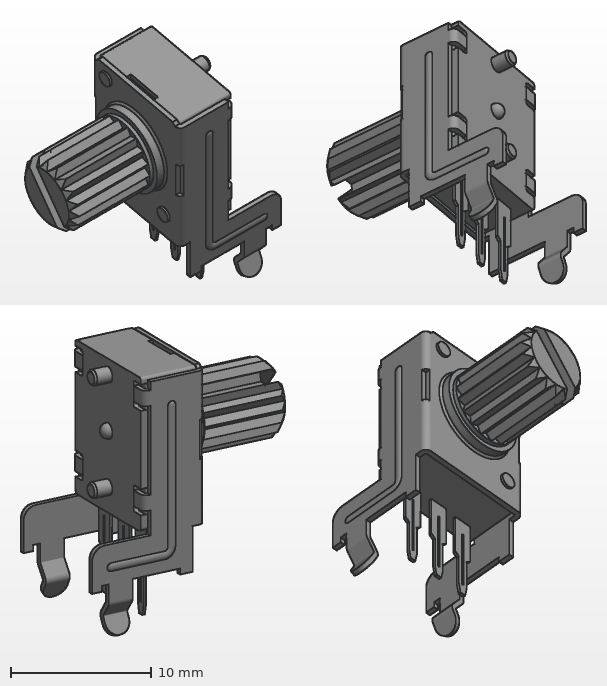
import cadquery as cq
import math


SHEET = 0.4
COVER_HALF_WIDTH = 4.9
INNER_HALF_WIDTH = COVER_HALF_WIDTH - SHEET
COVER_TOP = 5.5
COVER_BOTTOM = -6.5
SIDE_WALL_TOP = 5.25
SIDE_WALL_BACK = 4.54
BEND_INNER_RADIUS = 0.1
BEND_OUTER_RADIUS = BEND_INNER_RADIUS + SHEET
TOP_CORNER_CHAMFER = COVER_TOP - SIDE_WALL_TOP
WINDOW_HEIGHT = 3.01

SHAFT_RADIUS = 6.0 / 2
COLLAR_RADIUS = 6.8 / 2
COLLAR_FRONT = -0.83
COLLAR_BASE_CHAMFER = 0.17

WING_FRONT = 1.0
WING_BACK = 9.4
WING_CORNER_RADIUS = 1.0
WING_FOOT_BOTTOM = -10.0
WING_EDGE_BOTTOM = -9.53
FRONT_FOOT_WIDTH = 1.05
BACK_FOOT_WIDTH = 0.81

LEG_WIDTH = 2.0
LEG_CENTER_Y = 7.0
LEG_X = COVER_HALF_WIDTH - SHEET / 2
LEG_KNEE_Z = -11.05
LEG_ELBOW_X = 3.88
LEG_ELBOW_Z = -12.18
LEG_END_X = 4.65
LEG_END_Z = -13.7

BEAD_HEIGHT = 0.1
BEAD_WIDTH = 0.64
BEAD_RADIUS = ((BEAD_WIDTH / 2) ** 2 + BEAD_HEIGHT ** 2) / (2 * BEAD_HEIGHT)
BEAD_Y = 2.76
BEAD_Z = -8.26
BEAD_BEND_RADIUS = 0.62
BEAD_TOP_CENTER = 3.1
BEAD_BACK_CENTER = 7.82

TAB_WIDTH = 1.2
TAB_CENTER_Z = 4.0
TAB_REACH = 1.4
TAB_INNER_X = COVER_HALF_WIDTH - TAB_REACH
TAB_POCKET_WIDTH = 2.0
TAB_POCKET_CORNER_RADIUS = 0.2

HOUSING_BACK = 5.1
HOUSING_BOTTOM = -6.27
HOUSING_TOP_RADIUS = 0.23
HOUSING_BOTTOM_RADIUS = 0.35
HOUSING_FRONT_RADIUS = 0.1
PIN_RADIUS = 1.2 / 2
PIN_CENTER_Z = 4.3
FRONT_PIN_X = 3.25
FRONT_PIN_END = -0.2
BACK_PIN_LENGTH = 1.43
BACK_PIN_TAPER_LENGTH = 0.17
BACK_PIN_TIP_RADIUS = 0.48

SHAFT_FRONT = -8.2
SPLINE_START = -1.15
SPLINE_TEETH = 18
SPLINE_ROOT_RADIUS = 2.49
SHAFT_CHAMFER = 0.55
SLOT_WIDTH = 1.05
SLOT_DEPTH = 1.52
SLOT_ANGLE = 130

TERMINAL_PITCH = 2.5
TERMINAL_THICKNESS = 0.21
OUTER_TERMINAL_FRONT = 3.69
MIDDLE_TERMINAL_FRONT = 3.59
TERMINAL_WIDE = 1.5
TERMINAL_NARROW = 0.8
TERMINAL_TIP_WIDTH = 0.46
TERMINAL_SHOULDER_TOP = -9.7
TERMINAL_SHOULDER_BOTTOM = -9.98
TERMINAL_TAPER_START = -12.65
TERMINAL_TIP = -13.43
RIB_RADIUS = 0.1
RIB_HEIGHT = 0.05
RIB_TOP = -7.53
RIB_BOTTOM = -12.5

SIDES = (-1, 1)


def block(x_range, y_range, z_range):
    """Axis-aligned box between the given pairs of limits."""
    size = [high - low for low, high in (x_range, y_range, z_range)]
    corner = (x_range[0], y_range[0], z_range[0])
    return cq.Workplane("XY").box(*size, centered=False).translate(corner)


def rod(radius, y_start, y_end, x=0, z=0):
    """Round bar parallel to Y."""
    start = cq.Vector(x, y_start, z)
    return cq.Workplane(cq.Solid.makeCylinder(radius, y_end - y_start, start, cq.Vector(0, 1, 0)))


def mirror_pair(right_part):
    """The given +X shape together with its mirror image at -X."""
    return right_part.union(right_part.mirror("YZ"))


def cover_shell():
    """U-shaped wrap of front wall and side walls, joined by rounded bends."""
    heights = (COVER_BOTTOM, COVER_TOP)
    outer = block((-COVER_HALF_WIDTH, COVER_HALF_WIDTH), (0, SIDE_WALL_BACK), heights)
    outer = outer.edges("|Z and <Y").fillet(BEND_OUTER_RADIUS)
    inner = block((-INNER_HALF_WIDTH, INNER_HALF_WIDTH), (SHEET, HOUSING_BACK), heights)
    inner = inner.edges("|Z and <Y").fillet(BEND_INNER_RADIUS)

    front_edge = COVER_HALF_WIDTH - BEND_OUTER_RADIUS
    outline = (
        cq.Workplane("XZ")
        .moveTo(-COVER_HALF_WIDTH, COVER_BOTTOM)
        .lineTo(COVER_HALF_WIDTH, COVER_BOTTOM)
        .lineTo(COVER_HALF_WIDTH, SIDE_WALL_TOP)
        .lineTo(front_edge, SIDE_WALL_TOP)
        .lineTo(front_edge - TOP_CORNER_CHAMFER, COVER_TOP)
        .lineTo(TOP_CORNER_CHAMFER - front_edge, COVER_TOP)
        .lineTo(-front_edge, SIDE_WALL_TOP)
        .lineTo(-COVER_HALF_WIDTH, SIDE_WALL_TOP)
        .close()
        .extrude(-SIDE_WALL_BACK)
    )
    window = block(
        (INNER_HALF_WIDTH, COVER_HALF_WIDTH), (0, SHEET), (-WINDOW_HEIGHT / 2, WINDOW_HEIGHT / 2)
    )
    return outer.cut(inner).intersect(outline).cut(mirror_pair(window))


def collar():
    """Drawn collar with a conical foot on the front wall."""
    foot = cq.Solid.makeCone(
        COLLAR_RADIUS + COLLAR_BASE_CHAMFER, COLLAR_RADIUS, COLLAR_BASE_CHAMFER,
        cq.Vector(0, 0, 0), cq.Vector(0, -1, 0),
    )
    return rod(COLLAR_RADIUS, COLLAR_FRONT, SHEET).union(cq.Workplane(foot))


def wing():
    """Mounting wing at +X, with a foot at each end of its lower edge."""
    front_foot_back = WING_FRONT + FRONT_FOOT_WIDTH
    back_foot_front = WING_BACK - BACK_FOOT_WIDTH
    plate = (
        cq.Workplane("YZ", origin=(INNER_HALF_WIDTH, 0, 0))
        .moveTo(WING_FRONT, COVER_BOTTOM)
        .lineTo(WING_FRONT, WING_FOOT_BOTTOM)
        .lineTo(front_foot_back, WING_FOOT_BOTTOM)
        .lineTo(front_foot_back, WING_EDGE_BOTTOM)
        .lineTo(back_foot_front, WING_EDGE_BOTTOM)
        .lineTo(back_foot_front, WING_FOOT_BOTTOM)
        .lineTo(WING_BACK, WING_FOOT_BOTTOM)
        .lineTo(WING_BACK, COVER_BOTTOM)
        .close()
        .extrude(SHEET)
    )
    return plate.edges("|X and >Y and >Z").fillet(WING_CORNER_RADIUS)


def leg():
    """Snap-in leg at +X, bent inward at the knee and outward at the elbow, with a round tip."""
    path = cq.Workplane("XZ", origin=(0, LEG_CENTER_Y, 0)).polyline([
        (LEG_X, WING_EDGE_BOTTOM),
        (LEG_X, LEG_KNEE_Z),
        (LEG_ELBOW_X, LEG_ELBOW_Z),
        (LEG_END_X, LEG_END_Z),
    ])
    strip = (
        cq.Workplane("XY", origin=(LEG_X, LEG_CENTER_Y, WING_EDGE_BOTTOM))
        .rect(SHEET, LEG_WIDTH)
        .sweep(path, transition="right")
    )
    for bend_x, bend_z, outward in ((LEG_X, LEG_KNEE_Z, 1), (LEG_ELBOW_X, LEG_ELBOW_Z, -1)):
        for step, radius in ((outward, BEND_OUTER_RADIUS), (-outward, BEND_INNER_RADIUS)):
            beside_bend = (bend_x + step * SHEET, LEG_CENTER_Y, bend_z)
            bend_edge = strip.edges("|Y").edges(cq.NearestToPointSelector(beside_bend))
            strip = bend_edge.fillet(radius)

    limb = cq.Vector(LEG_END_X - LEG_ELBOW_X, 0, LEG_END_Z - LEG_ELBOW_Z).normalized()
    tip = cq.Vector(LEG_END_X, LEG_CENTER_Y, LEG_END_Z)
    limb_plane = cq.Plane(tip, cq.Vector(0, 1, 0), limb.cross(cq.Vector(0, 1, 0)))
    tip_radius = LEG_WIDTH / 2
    tip_disc = (
        cq.Workplane(limb_plane)
        .center(0, tip_radius)
        .circle(tip_radius)
        .extrude(SHEET, both=True)
    )
    tip_waste = (
        cq.Workplane(limb_plane)
        .rect(LEG_WIDTH, LEG_WIDTH)
        .extrude(SHEET, both=True)
        .cut(tip_disc)
    )
    return strip.cut(tip_waste)


def bead():
    """L-shaped raised bead on the outer face at +X: a round bar mostly sunk in the wall."""
    axis_x = COVER_HALF_WIDTH + BEAD_HEIGHT - BEAD_RADIUS
    bend_y = BEAD_Y + BEAD_BEND_RADIUS
    bend_z = BEAD_Z + BEAD_BEND_RADIUS
    bend_middle = BEAD_BEND_RADIUS * math.sqrt(0.5)
    path = (
        cq.Workplane("YZ", origin=(axis_x, 0, 0))
        .moveTo(BEAD_Y, BEAD_TOP_CENTER)
        .lineTo(BEAD_Y, bend_z)
        .threePointArc((bend_y - bend_middle, bend_z - bend_middle), (bend_y, BEAD_Z))
        .lineTo(BEAD_BACK_CENTER, BEAD_Z)
    )
    bar = (
        cq.Workplane("XY", origin=(axis_x, BEAD_Y, BEAD_TOP_CENTER))
        .circle(BEAD_RADIUS)
        .sweep(path)
    )
    for y, z in ((BEAD_Y, BEAD_TOP_CENTER), (BEAD_BACK_CENTER, BEAD_Z)):
        bar = bar.union(cq.Workplane("XY", origin=(axis_x, y, z)).sphere(BEAD_RADIUS))
    outside = block(
        (COVER_HALF_WIDTH, COVER_HALF_WIDTH + BEAD_HEIGHT),
        (0, WING_BACK),
        (WING_FOOT_BOTTOM, COVER_TOP),
    )
    return bar.intersect(outside)


def clinch_tab(center_z):
    """Tab at +X, bent from the side wall onto the back of the housing."""
    heights = (center_z - TAB_WIDTH / 2, center_z + TAB_WIDTH / 2)
    outer = block((TAB_INNER_X, COVER_HALF_WIDTH), (SIDE_WALL_BACK, HOUSING_BACK), heights)
    outer = outer.edges("|Z and >X and >Y").fillet(BEND_OUTER_RADIUS)
    inner = block((TAB_INNER_X, INNER_HALF_WIDTH), (SIDE_WALL_BACK, HOUSING_BACK - SHEET), heights)
    inner = inner.edges("|Z and >X and >Y").fillet(BEND_INNER_RADIUS)
    return outer.cut(inner)


def make_cover():
    cover = cover_shell().union(collar())
    for right_part in (wing(), leg(), bead(), clinch_tab(TAB_CENTER_Z), clinch_tab(-TAB_CENTER_Z)):
        cover = cover.union(mirror_pair(right_part))
    cover = cover.cut(rod(SHAFT_RADIUS, COLLAR_FRONT, SHEET))
    for side in SIDES:
        pin_hole = rod(PIN_RADIUS, 0, SHEET, side * FRONT_PIN_X, -side * PIN_CENTER_Z)
        cover = cover.cut(pin_hole)
    return cover


def tab_pocket(center_z):
    """Recess at +X in the back of the housing for one clinch tab."""
    heights = (center_z - TAB_POCKET_WIDTH / 2, center_z + TAB_POCKET_WIDTH / 2)
    pocket = block(
        (TAB_INNER_X, INNER_HALF_WIDTH),
        (HOUSING_BACK - SHEET, HOUSING_BACK),
        heights,
    )
    pocket = pocket.edges("|Y and <X").fillet(TAB_POCKET_CORNER_RADIUS)
    bend_x = INNER_HALF_WIDTH - BEND_INNER_RADIUS
    bend_y = HOUSING_BACK - SHEET - BEND_INNER_RADIUS
    rim = block((bend_x, INNER_HALF_WIDTH), (bend_y, HOUSING_BACK - SHEET), heights)
    round_bar = (
        cq.Workplane("XY", origin=(bend_x, bend_y, heights[0]))
        .circle(BEND_INNER_RADIUS)
        .extrude(TAB_POCKET_WIDTH)
    )
    return pocket.union(rim.cut(round_bar))


def back_pin(center_z):
    """Locating pin on the back, with a tapered end."""
    taper_start = HOUSING_BACK + BACK_PIN_LENGTH - BACK_PIN_TAPER_LENGTH
    taper = cq.Solid.makeCone(
        PIN_RADIUS, BACK_PIN_TIP_RADIUS, BACK_PIN_TAPER_LENGTH,
        cq.Vector(0, taper_start, center_z), cq.Vector(0, 1, 0),
    )
    return rod(PIN_RADIUS, HOUSING_BACK, taper_start, z=center_z).union(cq.Workplane(taper))


def make_housing():
    housing = block(
        (-INNER_HALF_WIDTH, INNER_HALF_WIDTH), (SHEET, HOUSING_BACK), (HOUSING_BOTTOM, COVER_TOP)
    )
    housing = housing.edges("|Y and >Z").fillet(HOUSING_TOP_RADIUS)
    housing = housing.edges("|Y and <Z").fillet(HOUSING_BOTTOM_RADIUS)
    housing = housing.faces("<Y").edges().fillet(HOUSING_FRONT_RADIUS)
    top_notch = block(
        (-WINDOW_HEIGHT / 2, WINDOW_HEIGHT / 2), (SHEET, 2 * SHEET), (COVER_TOP - SHEET, COVER_TOP)
    )
    housing = housing.cut(top_notch)
    for side in SIDES:
        housing = housing.cut(mirror_pair(tab_pocket(side * TAB_CENTER_Z)))
        front_pin = rod(PIN_RADIUS, FRONT_PIN_END, SHEET, side * FRONT_PIN_X, -side * PIN_CENTER_Z)
        housing = housing.union(front_pin).union(back_pin(side * PIN_CENTER_Z))
    back_dome = cq.Workplane("XY", origin=(0, HOUSING_BACK, 0)).sphere(PIN_RADIUS)
    return housing.union(back_dome)


def make_shaft():
    """Splined shaft with V-shaped teeth, a chamfered end and a driver slot."""
    half_pitch = math.pi / SPLINE_TEETH
    spline_points = []
    for step in range(2 * SPLINE_TEETH):
        radius = SHAFT_RADIUS if step % 2 == 0 else SPLINE_ROOT_RADIUS
        angle = step * half_pitch
        spline_points.append((radius * math.cos(angle), radius * math.sin(angle)))
    spline = (
        cq.Workplane("XZ", origin=(0, SPLINE_START, 0))
        .polyline(spline_points)
        .close()
        .extrude(SPLINE_START - SHAFT_FRONT)
    )
    envelope = rod(SHAFT_RADIUS, SHAFT_FRONT, SPLINE_START).faces("<Y").chamfer(SHAFT_CHAMFER)
    slot = block(
        (-SHAFT_RADIUS, SHAFT_RADIUS),
        (SHAFT_FRONT, SHAFT_FRONT + SLOT_DEPTH),
        (-SLOT_WIDTH / 2, SLOT_WIDTH / 2),
    )
    slot = slot.rotate((0, 0, 0), (0, 1, 0), -SLOT_ANGLE)
    journal = rod(SHAFT_RADIUS, SPLINE_START, SHEET)
    return journal.union(spline.intersect(envelope).cut(slot))


def terminal_rib(y):
    """Round-ended bar along the blade, whose crest reaches the rib height behind the given Y."""
    axis_y = y + RIB_HEIGHT - RIB_RADIUS
    bar_length = RIB_TOP - RIB_BOTTOM - 2 * RIB_RADIUS
    bottom_center = RIB_BOTTOM + RIB_RADIUS
    bar = cq.Workplane("XY", origin=(0, axis_y, bottom_center)).circle(RIB_RADIUS).extrude(bar_length)
    for end_z in (bottom_center, bottom_center + bar_length):
        bar = bar.union(cq.Workplane("XY", origin=(0, axis_y, end_z)).sphere(RIB_RADIUS))
    return bar


def make_terminal(center_x, front_y):
    """Stepped, pointed blade with a rib embossed from its front."""
    right_edge = [
        (TERMINAL_WIDE / 2, HOUSING_BOTTOM),
        (TERMINAL_WIDE / 2, TERMINAL_SHOULDER_TOP),
        (TERMINAL_NARROW / 2, TERMINAL_SHOULDER_BOTTOM),
        (TERMINAL_NARROW / 2, TERMINAL_TAPER_START),
        (TERMINAL_TIP_WIDTH / 2, TERMINAL_TIP),
    ]
    left_edge = [(-x, z) for x, z in reversed(right_edge)]
    blade = (
        cq.Workplane("XZ", origin=(0, front_y, 0))
        .polyline(right_edge + left_edge)
        .close()
        .extrude(-TERMINAL_THICKNESS)
    )
    back_rib = terminal_rib(front_y + TERMINAL_THICKNESS)
    blade = blade.union(back_rib).cut(terminal_rib(front_y))
    return blade.translate((center_x, 0, 0))


cover = make_cover()
housing = make_housing()
shaft = make_shaft()
terminals = []
for place in (-1, 0, 1):
    front_y = MIDDLE_TERMINAL_FRONT if place == 0 else OUTER_TERMINAL_FRONT
    terminals.append(make_terminal(place * TERMINAL_PITCH, front_y))

result = cq.Compound.makeCompound(
    [cover.val(), housing.val(), shaft.val(), *[terminal.val() for terminal in terminals]]
)